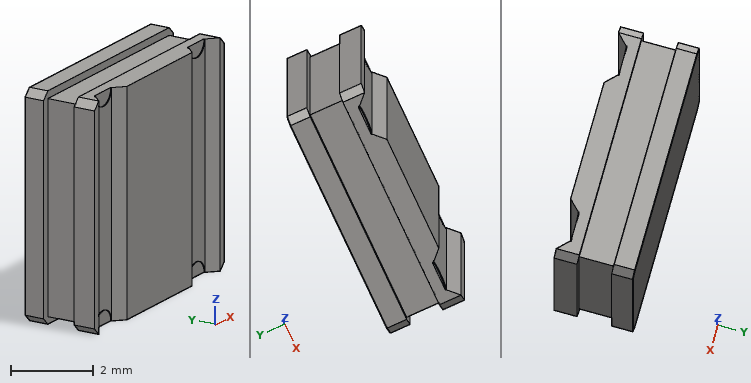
import cadquery as cq

side = 6.0
depth = 2.0
corner_chamfer = 0.2
front_flange = 0.58
back_flange = 0.54
rim_chamfer = 0.02

groove_inset = corner_chamfer
groove_width = 1.295
groove_depth = 0.27

recess_depth = 0.025

core_side = side - 2 * corner_chamfer
groove_floor = groove_width - 2 * groove_depth
groove_offset = side / 2 - groove_inset - groove_width / 2
recess_radius = groove_floor / 2
front = -depth / 2
floor_y = front + groove_depth
back_flange_start = depth / 2 - back_flange


def square_plate(size, start, thickness):
    """Square plate centred on the Y axis, reaching from `start` towards +Y."""
    return cq.Workplane("XY").box(size, thickness, size).translate((0, start + thickness / 2, 0))


def flange(start, thickness):
    """Full-size square plate with its four corners chamfered."""
    return square_plate(side, start, thickness).edges("|Y").chamfer(corner_chamfer)


def groove(center_x):
    """Trapezoidal cutter running the full height of the block."""
    half_mouth = groove_width / 2
    half_floor = groove_floor / 2
    outline = [
        (center_x - half_mouth, front),
        (center_x - half_floor, floor_y),
        (center_x + half_floor, floor_y),
        (center_x + half_mouth, front),
    ]
    return cq.Workplane("XY").polyline(outline).close().extrude(side / 2, both=True)


def end_recess(center_x, end_z):
    """Round cutter sinking into the groove floor, centred on its end edge."""
    floor_plane = cq.Workplane("XZ", origin=(center_x, floor_y, end_z))
    return floor_plane.circle(recess_radius).extrude(-recess_depth)


back = flange(back_flange_start, back_flange).faces(">Y").chamfer(rim_chamfer)
core = square_plate(core_side, front, depth - back_flange)
result = core.union(flange(front, front_flange)).union(back)

for groove_x in (-groove_offset, groove_offset):
    result = result.cut(groove(groove_x))
    for end_z in (-side / 2, side / 2):
        result = result.cut(end_recess(groove_x, end_z))